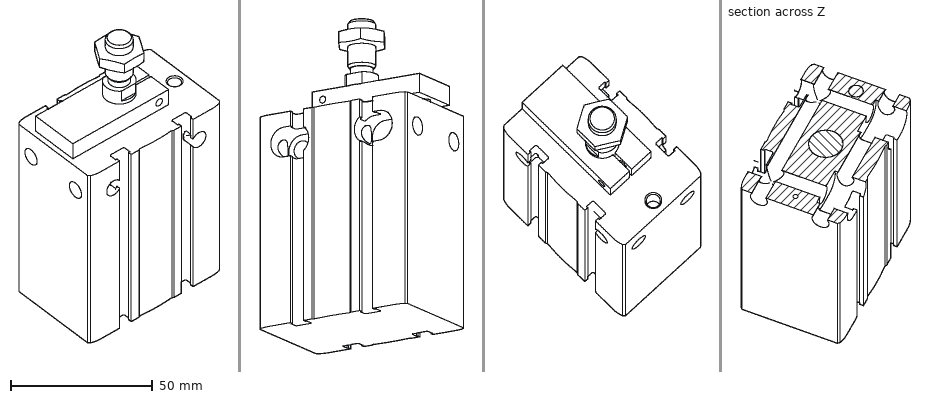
import cadquery as cq
import math

HOUSING_WIDTH = 40.0
HOUSING_LENGTH = 62.0
HOUSING_HEIGHT = 78.0
END_FACE_HALF_WIDTH = 18.5
CORNER_BEVEL = 0.73
CORNER_ARC_START = 26.4

RECESS_HALF_LENGTH = 8.2
RECESS_FLOOR_HALF_LENGTH = 7.6
CROWN_HALF_LENGTH = 6.9
RECESS_DEPTH = 0.3

SLOT_PITCH = 29.0
SLOT_OPENING = 5.4
SLOT_INNER_WIDTH = 6.7
SLOT_LIP = 1.5
SLOT_DEPTH = 4.6
SLOT_CORNER_RADIUS = 0.6

MOUNT_HOLE_DIAMETER = 6.5
MOUNT_BELOW_TOP = 11.0
MOUNT_LEVEL = HOUSING_HEIGHT - MOUNT_BELOW_TOP
MOUNT_PITCH_ALONG_X = 24.0
MOUNT_PITCH_ALONG_Y = 40.0
POCKET_WIDTH = 11.0
POCKET_STRETCH = 5.0
POCKET_DEPTH = 12.0

PORT_Y = 26.0
PORT_DIAMETER = 5.0
PORT_MOUTH_DIAMETER = 6.0
PORT_DEPTH = 8.0
DRILL_POINT_ANGLE = 118

ROD_DIAMETER = 12.0
ROD_SEAT_DEPTH = 20.0
ROD_SHOULDER_Z = 93.0
ROD_TOP_Z = 113.0
ROD_FLATS = 10.0
ROD_FLAT_HEIGHT = 4.5
NECK_DIAMETER = 8.0
THREAD_DIAMETER = 10.0
THREAD_START_Z = 95.7
THREAD_END_DIAMETER = 8.6
THREAD_END_CHAMFER = 1.0

NUT_ACROSS_FLATS = 16.0
NUT_HEIGHT = 5.0
NUT_BOTTOM_Z = 103.7
NUT_FACE_DIAMETER = 14.4
NUT_CORNER_DROP = 0.51

PLATE_WIDTH = 20.0
PLATE_BACK_Y = 14.5
PLATE_FRONT_Y = -30.5
PLATE_BOTTOM_Z = 80.0
PLATE_THICKNESS = 7.0
SLIT_WIDTH = 1.0
GUIDE_DIAMETER = 5.0
GUIDE_Y = -26.0
GUIDE_SEAT_DEPTH = ROD_SEAT_DEPTH

SCREW_Y = 10.1
SCREW_Z = PLATE_BOTTOM_Z + PLATE_THICKNESS / 2
SCREW_DIAMETER = 3.0
SCREW_LENGTH = 15.0
PILOT_DIAMETER = 2.5


def cylinder_z(diameter, bottom, top, y=0.0):
    return cq.Workplane("XY", origin=(0, y, bottom)).circle(diameter / 2).extrude(top - bottom)


def cylinder_x(diameter, start, end, y, z):
    return cq.Workplane("YZ", origin=(start, y, z)).circle(diameter / 2).extrude(end - start)


def cylinder_y(diameter, start, end, x, z):
    return cq.Workplane("XZ", origin=(x, start, z)).circle(diameter / 2).extrude(start - end)


def corner_arc_middle():
    """Middle point of the corner arc, which leaves the flat side tangentially and ends at the bevel."""
    side = HOUSING_WIDTH / 2
    rise = HOUSING_LENGTH / 2 - CORNER_BEVEL - CORNER_ARC_START
    inset = side - END_FACE_HALF_WIDTH - CORNER_BEVEL
    radius = (rise**2 + inset**2) / (2 * inset)
    half_angle = math.asin(rise / radius) / 2
    return (
        side - radius * (1 - math.cos(half_angle)),
        CORNER_ARC_START + radius * math.sin(half_angle),
    )


def housing_blank():
    """Housing block with bevelled, rounded corners and crowned side recesses."""
    side = HOUSING_WIDTH / 2
    end = HOUSING_LENGTH / 2
    bevel_x = END_FACE_HALF_WIDTH + CORNER_BEVEL
    bevel_y = end - CORNER_BEVEL
    crown_edge = side - RECESS_DEPTH
    arc_x, arc_y = corner_arc_middle()
    profile = cq.Workplane("XY").moveTo(crown_edge, -CROWN_HALF_LENGTH)
    for sign in (1, -1):
        profile = (
            profile.threePointArc((sign * side, 0), (sign * crown_edge, sign * CROWN_HALF_LENGTH))
            .lineTo(sign * crown_edge, sign * RECESS_FLOOR_HALF_LENGTH)
            .lineTo(sign * side, sign * RECESS_HALF_LENGTH)
            .lineTo(sign * side, sign * CORNER_ARC_START)
            .threePointArc((sign * arc_x, sign * arc_y), (sign * bevel_x, sign * bevel_y))
            .lineTo(sign * END_FACE_HALF_WIDTH, sign * end)
            .lineTo(-sign * END_FACE_HALF_WIDTH, sign * end)
            .lineTo(-sign * bevel_x, sign * bevel_y)
            .threePointArc((-sign * arc_x, sign * arc_y), (-sign * side, sign * CORNER_ARC_START))
            .lineTo(-sign * side, sign * RECESS_HALF_LENGTH)
            .lineTo(-sign * crown_edge, sign * RECESS_FLOOR_HALF_LENGTH)
            .lineTo(-sign * crown_edge, sign * CROWN_HALF_LENGTH)
        )
    return profile.close().extrude(HOUSING_HEIGHT)


def sensor_slot(sign_x, y):
    """T-shaped slot cutter in the side that faces sign_x."""
    side = HOUSING_WIDTH / 2
    mouth = (
        cq.Workplane("XY", origin=(sign_x * (side - SLOT_DEPTH / 2), y, 0))
        .rect(SLOT_DEPTH, SLOT_OPENING)
        .extrude(HOUSING_HEIGHT)
    )
    floor_edges = "|Z and <X" if sign_x > 0 else "|Z and >X"
    chamber_depth = SLOT_DEPTH - SLOT_LIP
    chamber = (
        cq.Workplane("XY", origin=(sign_x * (side - SLOT_LIP - chamber_depth / 2), y, 0))
        .rect(chamber_depth, SLOT_INNER_WIDTH)
        .extrude(HOUSING_HEIGHT)
        .edges(floor_edges)
        .fillet(SLOT_CORNER_RADIUS)
    )
    return mouth.union(chamber)


def bolt_pocket(sign_y):
    """Obround pocket cutter on the -X side, around one of the holes that run along X."""
    center_y = sign_y * (MOUNT_PITCH_ALONG_Y - POCKET_STRETCH) / 2
    return (
        cq.Workplane("YZ", origin=(-HOUSING_WIDTH / 2, center_y, MOUNT_LEVEL))
        .slot2D(POCKET_STRETCH + POCKET_WIDTH, POCKET_WIDTH)
        .extrude(POCKET_DEPTH)
    )


def port():
    """Drilled port cutter with a chamfered mouth and a conical end."""
    radius = PORT_DIAMETER / 2
    mouth_radius = PORT_MOUTH_DIAMETER / 2
    point_length = radius / math.tan(math.radians(DRILL_POINT_ANGLE / 2))
    return (
        cq.Workplane("XZ", origin=(0, PORT_Y, HOUSING_HEIGHT))
        .polyline([
            (0, 0),
            (mouth_radius, 0),
            (radius, radius - mouth_radius),
            (radius, -PORT_DEPTH),
            (0, -PORT_DEPTH - point_length),
        ])
        .close()
        .revolve(360, (0, 0, 0), (0, 1, 0))
    )


def make_housing():
    side = HOUSING_WIDTH / 2
    end = HOUSING_LENGTH / 2
    housing = housing_blank()
    for sign in (-1, 1):
        for side_sign in (-1, 1):
            housing = housing.cut(sensor_slot(side_sign, sign * SLOT_PITCH / 2))
        hole_y = sign * MOUNT_PITCH_ALONG_Y / 2
        hole_x = sign * MOUNT_PITCH_ALONG_X / 2
        housing = housing.cut(cylinder_x(MOUNT_HOLE_DIAMETER, -side, side, hole_y, MOUNT_LEVEL))
        housing = housing.cut(cylinder_y(MOUNT_HOLE_DIAMETER, -end, end, hole_x, MOUNT_LEVEL))
        housing = housing.cut(bolt_pocket(sign))
    housing = housing.cut(port())
    housing = housing.cut(cylinder_z(ROD_DIAMETER, HOUSING_HEIGHT - ROD_SEAT_DEPTH, HOUSING_HEIGHT))
    return housing.cut(
        cylinder_z(GUIDE_DIAMETER, HOUSING_HEIGHT - GUIDE_SEAT_DEPTH, HOUSING_HEIGHT, GUIDE_Y)
    )


def make_rod():
    """Turned rod with a necked, chamfered thread and two wrench flats facing +X and -X."""
    bottom = HOUSING_HEIGHT - ROD_SEAT_DEPTH
    rod = (
        cq.Workplane("XZ")
        .polyline([
            (0, bottom),
            (ROD_DIAMETER / 2, bottom),
            (ROD_DIAMETER / 2, ROD_SHOULDER_Z),
            (NECK_DIAMETER / 2, ROD_SHOULDER_Z),
            (NECK_DIAMETER / 2, THREAD_START_Z),
            (THREAD_END_DIAMETER / 2, THREAD_START_Z),
            (THREAD_DIAMETER / 2, THREAD_START_Z + THREAD_END_CHAMFER),
            (THREAD_DIAMETER / 2, ROD_TOP_Z - THREAD_END_CHAMFER),
            (THREAD_END_DIAMETER / 2, ROD_TOP_Z),
            (0, ROD_TOP_Z),
        ])
        .close()
        .revolve(360, (0, 0, 0), (0, 1, 0))
    )
    flat_depth = (ROD_DIAMETER - ROD_FLATS) / 2
    for sign in (-1, 1):
        flat = (
            cq.Workplane("XY", origin=(sign * (ROD_FLATS + flat_depth) / 2, 0, ROD_SHOULDER_Z))
            .rect(flat_depth, ROD_DIAMETER)
            .extrude(-ROD_FLAT_HEIGHT)
        )
        rod = rod.cut(flat)
    return rod


def make_nut():
    """Hexagon nut with corners on the Y axis, chamfered on both faces."""
    corner_radius = NUT_ACROSS_FLATS / math.sqrt(3)
    face_radius = NUT_FACE_DIAMETER / 2
    top = NUT_BOTTOM_Z + NUT_HEIGHT
    hexagon = (
        cq.Workplane("XY", origin=(0, 0, NUT_BOTTOM_Z))
        .polygon(6, 2 * corner_radius)
        .extrude(NUT_HEIGHT)
        .rotate((0, 0, 0), (0, 0, 1), 90)
    )
    chamfered_disc = (
        cq.Workplane("XZ")
        .polyline([
            (0, NUT_BOTTOM_Z),
            (face_radius, NUT_BOTTOM_Z),
            (corner_radius, NUT_BOTTOM_Z + NUT_CORNER_DROP),
            (corner_radius, top - NUT_CORNER_DROP),
            (face_radius, top),
            (0, top),
        ])
        .close()
        .revolve(360, (0, 0, 0), (0, 1, 0))
    )
    return hexagon.intersect(chamfered_disc).cut(cylinder_z(THREAD_DIAMETER, NUT_BOTTOM_Z, top))


def make_screw():
    """Clamp screw from the +X face of the plate across the slit."""
    start = PLATE_WIDTH / 2
    return cylinder_x(SCREW_DIAMETER, start - SCREW_LENGTH, start, SCREW_Y, SCREW_Z)


def make_plate():
    """Plate clamped round the rod, with a slit, a screw hole and a guide pin below."""
    top = PLATE_BOTTOM_Z + PLATE_THICKNESS
    half_width = PLATE_WIDTH / 2
    plate = (
        cq.Workplane("XY", origin=(0, (PLATE_BACK_Y + PLATE_FRONT_Y) / 2, PLATE_BOTTOM_Z))
        .rect(PLATE_WIDTH, PLATE_BACK_Y - PLATE_FRONT_Y)
        .extrude(PLATE_THICKNESS)
    )
    guide_bottom = HOUSING_HEIGHT - GUIDE_SEAT_DEPTH
    plate = plate.union(cylinder_z(GUIDE_DIAMETER, guide_bottom, PLATE_BOTTOM_Z, GUIDE_Y))
    slit = (
        cq.Workplane("XY", origin=(0, PLATE_BACK_Y / 2, PLATE_BOTTOM_Z))
        .rect(SLIT_WIDTH, PLATE_BACK_Y)
        .extrude(PLATE_THICKNESS)
    )
    plate = plate.cut(slit).cut(cylinder_z(ROD_DIAMETER, PLATE_BOTTOM_Z, top))
    pilot = cylinder_x(PILOT_DIAMETER, -half_width, half_width, SCREW_Y, SCREW_Z)
    return plate.cut(pilot).cut(make_screw())


housing = make_housing()
rod = make_rod()
plate = make_plate()
screw = make_screw()
nut = make_nut()

result = cq.Compound.makeCompound([
    housing.val(),
    rod.val(),
    plate.val(),
    screw.val(),
    nut.val(),
])